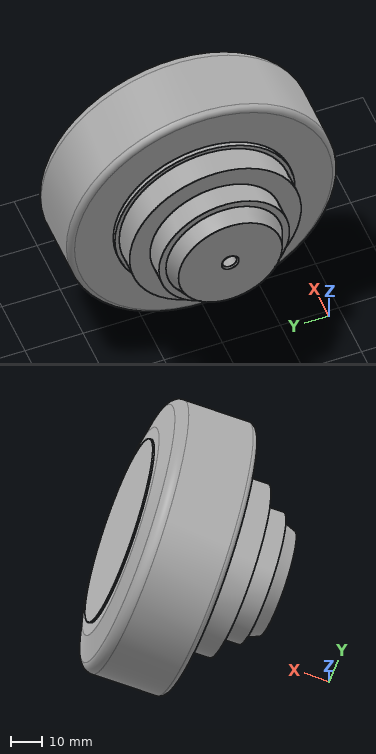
import cadquery as cq
import math

NOSE_END = 5.3
SMALL_STEP_END = 13.0
LARGE_STEP_END = 22.0
WHEEL_START = 23.5
WHEEL_END = 53.45
TOTAL_LENGTH = 54.0

NOSE_TIP_RADIUS = 17.8
NOSE_BASE_RADIUS = 20.0
SMALL_STEP_RADIUS = 22.5
LARGE_STEP_RADIUS = 29.5
COLLAR_RADIUS = 31.0
WHEEL_RADIUS = 46.4

FRONT_ROUND = 2.0
FRONT_MIDDLE_ANGLE = math.radians(135)
BACK_ROUND = 3.8
BACK_ROUND_START = 47.5
BACK_CONE_ANGLE = math.radians(15)

HOLE_RADIUS = 2.4
HOLE_MOUTH_RADIUS = 3.0
HOLE_DEPTH = 14.85
DRILL_POINT_ANGLE = math.radians(118)


def round_point(center_x, center_radius, size, angle):
    """Point (x, radius) on a round, at an angle from the X axis."""
    return (center_x + size * math.cos(angle), center_radius + size * math.sin(angle))


def revolve_about_x(profile):
    """Close a half profile and turn it about the part axis."""
    return profile.close().revolve(360, (0, 0, 0), (1, 0, 0))


def make_body():
    """Solid of revolution without the centre hole."""
    front_center = (WHEEL_START + FRONT_ROUND, WHEEL_RADIUS - FRONT_ROUND)
    front_middle = round_point(*front_center, FRONT_ROUND, FRONT_MIDDLE_ANGLE)

    back_center = (BACK_ROUND_START, WHEEL_RADIUS - BACK_ROUND)
    back_middle_angle = (math.radians(90) + BACK_CONE_ANGLE) / 2
    back_middle = round_point(*back_center, BACK_ROUND, back_middle_angle)
    cone_start = round_point(*back_center, BACK_ROUND, BACK_CONE_ANGLE)
    cone_end_radius = cone_start[1] - (WHEEL_END - cone_start[0]) / math.tan(BACK_CONE_ANGLE)

    profile = (
        cq.Workplane("XY")
        .moveTo(0, 0)
        .lineTo(0, NOSE_TIP_RADIUS)
        .lineTo(NOSE_END, NOSE_BASE_RADIUS)
        .lineTo(NOSE_END, SMALL_STEP_RADIUS)
        .lineTo(SMALL_STEP_END, SMALL_STEP_RADIUS)
        .lineTo(SMALL_STEP_END, LARGE_STEP_RADIUS)
        .lineTo(LARGE_STEP_END, LARGE_STEP_RADIUS)
        .lineTo(LARGE_STEP_END, COLLAR_RADIUS)
        .lineTo(WHEEL_START, COLLAR_RADIUS)
        .lineTo(WHEEL_START, front_center[1])
        .threePointArc(front_middle, (front_center[0], WHEEL_RADIUS))
        .lineTo(BACK_ROUND_START, WHEEL_RADIUS)
        .threePointArc(back_middle, cone_start)
        .lineTo(WHEEL_END, cone_end_radius)
        .lineTo(WHEEL_END, COLLAR_RADIUS)
        .lineTo(TOTAL_LENGTH, COLLAR_RADIUS)
        .lineTo(TOTAL_LENGTH, 0)
    )
    return revolve_about_x(profile)


def make_hole():
    """Countersunk blind hole with a drill-point bottom."""
    mouth_depth = HOLE_MOUTH_RADIUS - HOLE_RADIUS
    tip_depth = HOLE_DEPTH + HOLE_RADIUS / math.tan(DRILL_POINT_ANGLE / 2)
    profile = (
        cq.Workplane("XY")
        .moveTo(0, 0)
        .lineTo(0, HOLE_MOUTH_RADIUS)
        .lineTo(mouth_depth, HOLE_RADIUS)
        .lineTo(HOLE_DEPTH, HOLE_RADIUS)
        .lineTo(tip_depth, 0)
    )
    return revolve_about_x(profile)


result = make_body().cut(make_hole())